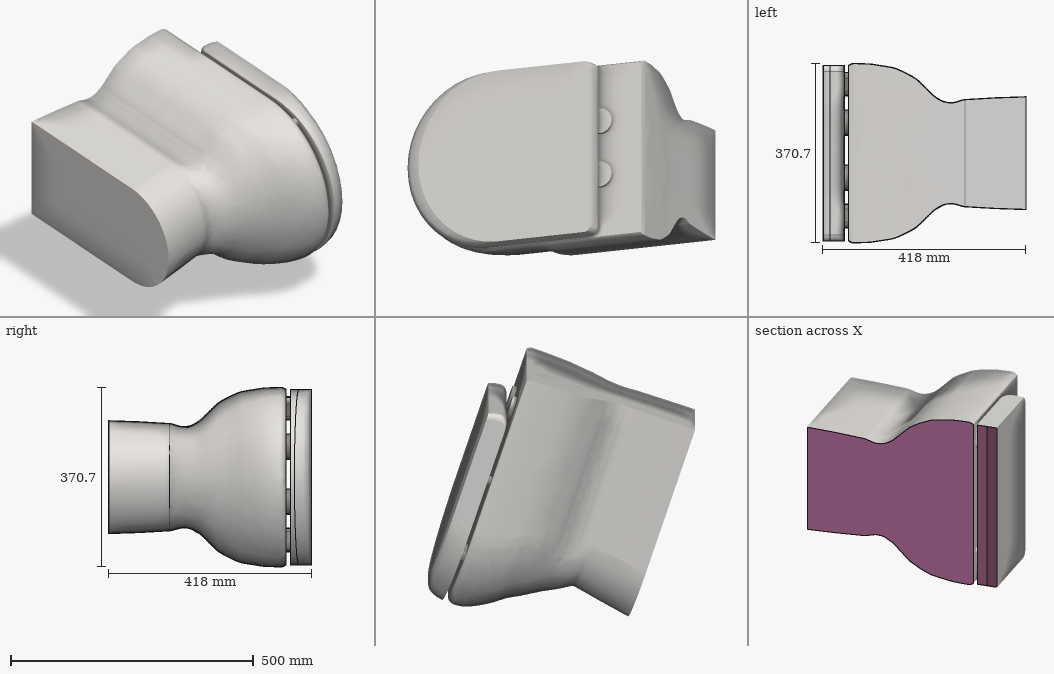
import cadquery as cq
import math


neck_height = 125.5
bowl_top = 366.0
wall_rear = 2.5

base_sections = [
    (0, 116.5, 436.0),
    (62.0, 114.0, 424.5),
    (neck_height, 110.5, 412.0),
]

basin_sections = [
    (neck_height, 110.5, 412.0, wall_rear),
    (142, 106.0, 420.0, wall_rear),
    (160.0, 104.0, 430.5, wall_rear),
    (178.0, 110.0, 439.0, wall_rear),
    (201.5, 129.0, 453, wall_rear),
    (225.5, 152.0, 466.5, wall_rear),
    (249.0, 166.0, 478.5, wall_rear),
    (273.0, 176.0, 495.5, 1.5),
    (297.0, 180.0, 510.5, 1.0),
    (320.5, 184.0, 521.5, 0.5),
    (347.5, 185.0, 526.5, 0),
    (356.5, 185.0, 524.5, 0.5),
    (362.0, 182.5, 519.5, 2.0),
    (bowl_top, 180.0, 510.5, 3.5),
]

seat_bottom = 374.5
lid_top = 418.0
cover_half_width = 181.0
cover_corner_radius = 12.5

cover_sections = [
    (seat_bottom, 524.5, 110.5),
    (377.5, 524.5, 100.5),
    (382.0, 523.5, 95),
    (389.5, 522.0, 91.0),
    (398.5, 518.0, 91.0),
    (407.0, 512.0, 92.5),
    (413.5, 500, 94.0),
    (lid_top, 484.5, 96.5),
]

parting_rear_x = 92.0
parting_rear_height = 404.5
parting_nose_x = 524.5
parting_nose_height = 383.0

gap = seat_bottom - bowl_top
hardware_z = 6.5
hinge_radius = 26.5
hinge_x = 93.0
hinge_spacing = 113.0
foot_width = 21
foot_length = 48.5
rear_foot_x = 237.5
rear_foot_offset = 136.5
rear_foot_tilt = 10
front_foot_x = 396.0
front_foot_offset = 135.0
front_foot_tilt = -20


def d_outline(height, half_width, nose, rear, corner_radius=0):
    """Level outline: straight rear, straight sides and a half-round nose."""
    arc_x = nose - half_width
    side_start = rear + corner_radius
    outline = (
        cq.Workplane(cq.Plane((0, height, 0), xDir=(1, 0, 0), normal=(0, 1, 0)))
        .moveTo(side_start, -half_width)
        .lineTo(arc_x, -half_width)
        .threePointArc((nose, 0), (arc_x, half_width))
        .lineTo(side_start, half_width)
    )
    if corner_radius > 0:
        corner_z = half_width - corner_radius
        inset = corner_radius * (1 - math.sqrt(0.5))
        outline = (
            outline.threePointArc((rear + inset, half_width - inset), (rear, corner_z))
            .lineTo(rear, -corner_z)
            .threePointArc((rear + inset, inset - half_width), (side_start, -half_width))
        )
    return outline.close().val()


def make_bowl():
    base = cq.Solid.makeLoft([d_outline(y, w, nose, wall_rear) for y, w, nose in base_sections])
    basin = cq.Solid.makeLoft([d_outline(*section) for section in basin_sections])
    return cq.Workplane(base).union(cq.Workplane(basin))


def make_closed_cover():
    """Seat and lid together, before they are split."""
    outlines = [
        d_outline(y, cover_half_width, nose, rear, cover_corner_radius)
        for y, nose, rear in cover_sections
    ]
    return cq.Workplane(cq.Solid.makeLoft(outlines))


def make_below_parting():
    """Block that fills everything under the sloping parting plane."""
    slope = (parting_nose_height - parting_rear_height) / (parting_nose_x - parting_rear_x)
    x_end = 2 * parting_nose_x
    return (
        cq.Workplane("XY")
        .moveTo(0, 0)
        .lineTo(x_end, 0)
        .lineTo(x_end, parting_rear_height + slope * (x_end - parting_rear_x))
        .lineTo(0, parting_rear_height - slope * parting_rear_x)
        .close()
        .extrude(2 * cover_half_width, both=True)
    )


def make_foot(x, offset, tilt, side):
    """Round-ended foot under the seat; side is +1 or -1 along Z."""
    return (
        cq.Workplane("XZ")
        .slot2D(foot_length, foot_width, 90 + tilt * side)
        .extrude(-gap)
        .translate((x, bowl_top, hardware_z + side * offset))
    )


def make_seat():
    seat = make_closed_cover().intersect(make_below_parting())
    for side in (1, -1):
        seat = seat.union(make_foot(rear_foot_x, rear_foot_offset, rear_foot_tilt, side))
        seat = seat.union(make_foot(front_foot_x, front_foot_offset, front_foot_tilt, side))
    return seat


def make_lid():
    return make_closed_cover().cut(make_below_parting())


def make_hinge(side):
    """Hinge disc standing on the bowl; side is +1 or -1 along Z."""
    return (
        cq.Workplane("XZ")
        .circle(hinge_radius)
        .extrude(-gap)
        .translate((hinge_x, bowl_top, hardware_z + side * hinge_spacing / 2))
    )


bowl = make_bowl()
seat = make_seat()
lid = make_lid()
hinges = [make_hinge(side) for side in (1, -1)]

bodies = [bowl, seat, lid, *hinges]

result = cq.Compound.makeCompound([body.solids().val() for body in bodies])